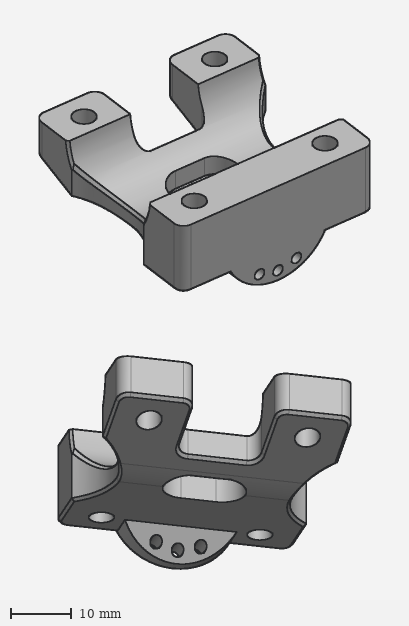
import cadquery as cq
import math

width = 40.0
half_width = width / 2
body_depth = 13.5
corner_radius = 2.0
edge_chamfer = 0.5

left_side_height = 7.0
slope_end_x = -2.5
slope_blend_radius = 15.0

trough_radius = 11.0
trough_axis_height = 1.0

scallop_radius = 12.0
scallop_depth = 5.0

notch_end_x = -8.0
notch_width = 14.0
slot_length = 14.0
slot_width = 8.0

hole_diameter = 4.2
hole_spacing_x = 30.0
hole_spacing_y = 27.0

tab_drop = 5.5
tab_radius = 11.0
tab_top_thickness = 5.1
tab_tip_thickness = 2.0
tab_hole_diameter = 2.0
tab_hole_circle_radius = 9.0
tab_hole_step_angle = 25.0

tab_bottom = -body_depth - tab_drop
tab_center_z = tab_bottom + tab_radius
trough_floor = (0, 0, trough_axis_height - trough_radius)

end_wall_min_y = half_width - scallop_depth
direction_tolerance = 1e-6


def make_block():
    """Side profile with the blended slope, extruded along Y, with rounded corners."""
    profile = (
        cq.Workplane("XZ")
        .moveTo(-half_width, 0)
        .lineTo(half_width, 0)
        .lineTo(half_width, -body_depth)
        .lineTo(slope_end_x, -body_depth)
        .lineTo(-half_width, -left_side_height)
        .close()
        .extrude(half_width, both=True)
    )
    bend = cq.selectors.NearestToPointSelector((slope_end_x, 0, -body_depth))
    return profile.edges("|Y").edges(bend).fillet(slope_blend_radius).edges("|Z").fillet(corner_radius)


def make_notch():
    """Opening in the -X side: rounded at its inner corners and flared where it meets the side."""
    half_notch = notch_width / 2
    flare = half_notch + corner_radius
    outline = (
        cq.Workplane("XY")
        .moveTo(-half_width, flare)
        .radiusArc((-half_width + corner_radius, half_notch), -corner_radius)
        .lineTo(notch_end_x - corner_radius, half_notch)
        .radiusArc((notch_end_x, half_notch - corner_radius), corner_radius)
        .lineTo(notch_end_x, corner_radius - half_notch)
        .radiusArc((notch_end_x - corner_radius, -half_notch), corner_radius)
        .lineTo(-half_width + corner_radius, -half_notch)
        .radiusArc((-half_width, -flare), -corner_radius)
        .close()
    )
    return outline.extrude(-body_depth)


def make_scallops():
    """Vertical cylinders that hollow the two end faces."""
    center_y = half_width - scallop_depth + scallop_radius
    return (
        cq.Workplane("XY")
        .pushPoints([(0, center_y), (0, -center_y)])
        .circle(scallop_radius)
        .extrude(-body_depth)
    )


def make_trough():
    """Cylinder along Y that forms the seat for the clamped tube."""
    return (
        cq.Workplane("XZ")
        .center(0, trough_axis_height)
        .circle(trough_radius)
        .extrude(half_width, both=True)
    )


def shared_edges(faces, neighbours):
    """Edges of the given faces that also belong to one of the neighbouring faces."""
    neighbour_edges = [edge for face in neighbours for edge in face.Edges()]
    return [
        edge
        for face in faces
        for edge in face.Edges()
        if any(edge.isSame(other) for other in neighbour_edges)
    ]


def is_upright(face):
    """True when the face is a vertical wall."""
    return abs(face.normalAt().z) < direction_tolerance


def chamfer_body(body):
    """Bevel the outline of the underside and the trough rim along the end faces and scallops."""
    walls = [face for face in body.faces().vals() if is_upright(face)]
    underside = [face for face in body.faces().vals() if face.normalAt().z < 0 and not is_upright(face)]
    trough = body.faces(cq.selectors.NearestToPointSelector(trough_floor)).vals()
    end_walls = [face for face in walls if abs(face.Center().y) > end_wall_min_y]
    edges = shared_edges(underside, walls) + shared_edges(trough, end_walls)
    return body.newObject(edges).chamfer(edge_chamfer)


def drill_screw_holes(body):
    """Four vertical through holes at the corners of a rectangle."""
    return (
        body.faces(">Z")
        .workplane(origin=(0, 0, 0))
        .rarray(hole_spacing_x, hole_spacing_y, 2, 2)
        .hole(hole_diameter)
    )


def make_slot():
    """Round-ended opening along Y through the trough floor."""
    return cq.Workplane("XY").slot2D(slot_length, slot_width, 90).extrude(-body_depth)


def make_tab():
    """Disc segment below the body, with a slanted inner face; its root fills the bevel on the +X side."""
    disc = (
        cq.Workplane("YZ")
        .workplane(offset=half_width - tab_top_thickness)
        .center(0, tab_center_z)
        .circle(tab_radius)
        .extrude(tab_top_thickness)
    )
    wedge = (
        cq.Workplane("XZ")
        .moveTo(half_width, edge_chamfer - body_depth)
        .lineTo(half_width, tab_bottom)
        .lineTo(half_width - tab_tip_thickness, tab_bottom)
        .lineTo(half_width - tab_top_thickness, -body_depth)
        .lineTo(half_width - tab_top_thickness, edge_chamfer - body_depth)
        .close()
        .extrude(tab_radius, both=True)
    )
    return disc.intersect(wedge)


def drill_tab_holes(body):
    """Three holes through the tab along X, on an arc concentric with its rim."""
    for step in (-1, 0, 1):
        angle = math.radians(step * tab_hole_step_angle)
        center_y = tab_hole_circle_radius * math.sin(angle)
        center_z = tab_center_z - tab_hole_circle_radius * math.cos(angle)
        drill = (
            cq.Workplane("YZ")
            .center(center_y, center_z)
            .circle(tab_hole_diameter / 2)
            .extrude(half_width)
        )
        body = body.cut(drill)
    return body


body = make_block().cut(make_notch()).cut(make_scallops()).cut(make_trough())
body = chamfer_body(body)
body = drill_screw_holes(body.cut(make_slot()))
body = body.union(make_tab())
result = drill_tab_holes(body)